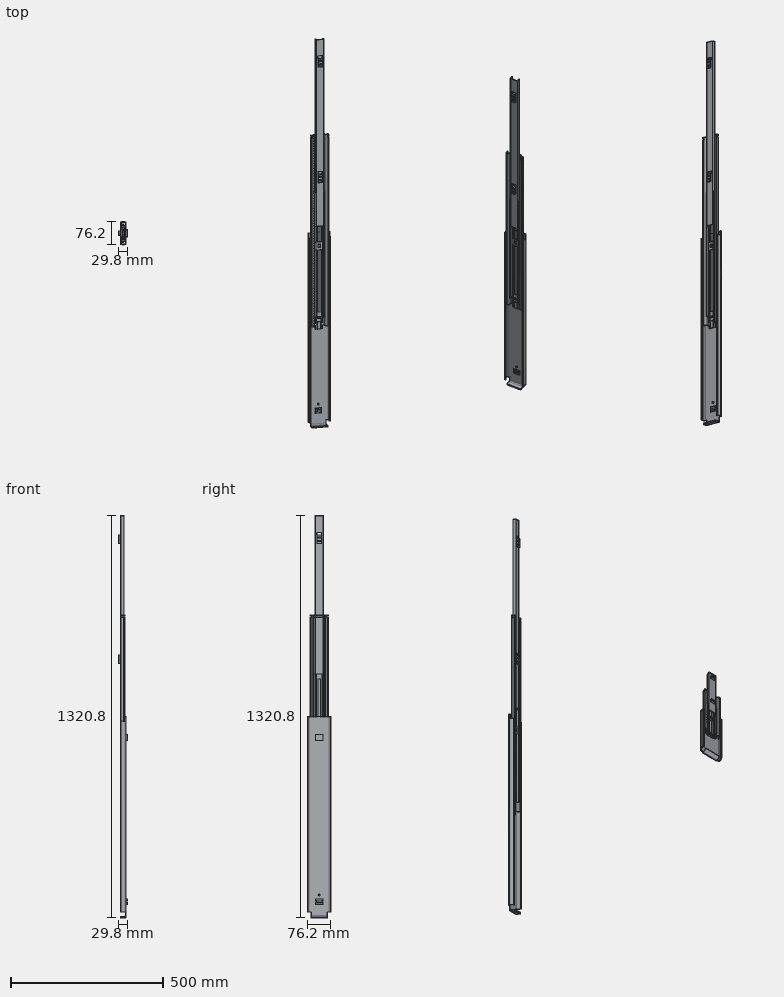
import cadquery as cq


total_depth = 29.79
total_length = 1320.8
slide_depth = 19.05
back = slide_depth / 2
mouth = -slide_depth / 2
tab_height = (total_depth - slide_depth) / 2
wall = 2.5

outer_width = 76.19
outer_length = total_length / 2
outer_corner = 4.0
outer_bulge = 1.8
outer_mouth_width = 62.0
outer_flange_bottom = 19.0
outer_flange_top = 646.0
outer_trim_depth = 3.0
foot_width = 53.0
foot_thickness = 4.5
foot_bend = 4.0
outer_tab_width = 24.0
outer_upper_tab_z = 592.0
outer_upper_tab_length = 20.0
outer_lower_tab_z = 53.0
outer_lower_tab_length = 18.0
outer_tab_gap = 5.0
pocket_length = 16.0
pocket_depth = 1.5
screw_hole_z = 75.0
screw_hole_diameter = 5.0

middle_width = 60.0
middle_bottom = 344.0
middle_top = 995.0
middle_web_back = 6.0
middle_channel_width = 36.0
middle_flange_end = 1.0
middle_corner = 2.0
race_radius = 6.0
stop_thickness = 3.5
stop_gap = 5.0
stop_neck_width = 52.0
tongue_width = 24.0
tongue_length = 12.0
latch_top = 372.0
latch_bottom = 353.0
latch_height = 2.0
latch_pocket_width = 16.0
latch_pocket_length = 11.0
tongue_step_width = 12.0

inner_width = 28.0
inner_bottom = 685.0
inner_flange_end = 2.75
inner_wall = 2.0
inner_corner = 0.8
inner_tab_width = 15.0
inner_tab_length = 28.0
inner_tab_zs = (849.0, 1243.0)
inner_tab_opening = 8.0
inner_tab_slot_width = 8.0
inner_tab_slot_length = 4.0
inner_tab_slot_spacing = 12.0

retainer_bottom = 374.0
retainer_top = 800.0
retainer_bridge = 16.0
retainer_slot_width = 8.0
guide_inner_y = 8.5
guide_outer_y = 10.5
guide_height = 3.0
pad_width = 24.0
pad_bottom = 602.0
pad_top = 630.0
pad_thickness = 1.5
pad_hole_width = 8.0
pad_hole_length = 11.0


def block(x0, x1, y0, y1, z0, z1):
    """Box between two opposite corners."""
    return cq.Workplane("XY").box(x1 - x0, y1 - y0, z1 - z0, centered=False).translate((x0, y0, z0))


def centered_block(x0, x1, width, z0, z1):
    """Box that is symmetric about the XZ plane."""
    return block(x0, x1, -width / 2, width / 2, z0, z1)


def side_blocks(x0, x1, y_near, y_far, z0, z1):
    """Mirrored pair of boxes on the +Y and -Y sides."""
    one_side = block(x0, x1, y_near, y_far, z0, z1)
    return one_side.union(one_side.mirror("XZ"))


def bulged_prism(x0, x1, width):
    """Full-length prism whose two side faces bow outward to the given width."""
    half = width / 2
    edge = half - outer_bulge
    x_middle = (x0 + x1) / 2
    profile = (
        cq.Workplane("XY")
        .moveTo(x0, -edge)
        .lineTo(x0, edge)
        .threePointArc((x_middle, half), (x1, edge))
        .lineTo(x1, -edge)
        .threePointArc((x_middle, -half), (x0, -edge))
        .close()
    )
    return profile.extrude(outer_length)


def make_outer_rail():
    web_front = back - wall
    rail = bulged_prism(mouth, back, outer_width).edges("|Z and >X").fillet(outer_corner)
    race = bulged_prism(mouth + wall, web_front, outer_width - 2 * wall)
    opening = centered_block(mouth, web_front, outer_mouth_width, 0, outer_length)
    rail = rail.cut(race.edges("|Z and >X").fillet(outer_corner - wall)).cut(opening)

    rail = rail.cut(centered_block(mouth, outer_trim_depth, outer_width, outer_flange_top, outer_length))
    rail = rail.cut(side_blocks(mouth, back, foot_width / 2, outer_width / 2, 0, outer_flange_bottom))
    foot_block = centered_block(mouth, back, foot_width, 0, outer_flange_bottom)
    foot_space = centered_block(mouth, web_front, foot_width, foot_thickness, outer_flange_bottom)
    foot_space = foot_space.edges("|Y and >X and <Z").fillet(foot_bend)
    foot = foot_block.edges("|Y and >X and <Z").fillet(foot_bend).cut(foot_space)
    rail = rail.cut(foot_block).union(foot)

    for tab_z, tab_length in (
        (outer_upper_tab_z, outer_upper_tab_length),
        (outer_lower_tab_z, outer_lower_tab_length),
    ):
        tab_start = tab_z - tab_length / 2
        tab_end = tab_z + tab_length / 2
        rail = rail.union(centered_block(back, back + tab_height, outer_tab_width, tab_start, tab_end))
    gap_start = outer_lower_tab_z - outer_tab_gap / 2
    gap_end = outer_lower_tab_z + outer_tab_gap / 2
    rail = rail.cut(centered_block(back, back + tab_height, outer_tab_width, gap_start, gap_end))
    pocket_start = outer_lower_tab_z - pocket_length / 2
    pocket_end = outer_lower_tab_z + pocket_length / 2
    pocket_width = outer_tab_width - 2 * wall
    rail = rail.cut(
        centered_block(web_front, web_front + pocket_depth, pocket_width, pocket_start, pocket_end)
    )
    screw_hole = (
        cq.Workplane("YZ", origin=(web_front, 0, screw_hole_z)).circle(screw_hole_diameter / 2).extrude(wall)
    )
    return rail.cut(screw_hole)


def make_middle_rail():
    web_front = middle_web_back - wall
    half_channel = middle_channel_width / 2
    half_width = middle_width / 2
    length_span = (middle_bottom, middle_top)
    rail = centered_block(web_front, middle_web_back, middle_channel_width + 2 * wall, *length_span)
    rail = rail.edges("|Z and >X").fillet(middle_corner)

    fold = block(mouth, middle_flange_end, half_channel, half_width, *length_span)
    fold = fold.edges("|Z and <X and <Y").fillet(race_radius)
    hollow = block(
        mouth + wall, middle_flange_end, half_channel + wall, half_width - wall, *length_span
    )
    fold = fold.cut(hollow.edges("|Z and <X and <Y").fillet(race_radius - wall))
    fold = fold.union(block(mouth + race_radius, web_front, half_channel, half_channel + wall, *length_span))
    rail = rail.union(fold).union(fold.mirror("XZ"))

    notch_top = middle_top - stop_thickness
    notch_bottom = notch_top - stop_gap
    rail = rail.cut(side_blocks(mouth, back, stop_neck_width / 2, half_width, notch_bottom, notch_top))
    rail = rail.cut(centered_block(inner_flange_end, back, middle_width, notch_bottom, notch_top))

    tongue_end = middle_bottom - tongue_length
    latch_front = web_front - latch_height
    pocket_z = (latch_top + latch_bottom) / 2
    pocket_start = pocket_z - latch_pocket_length / 2
    pocket_end = pocket_z + latch_pocket_length / 2
    latch = centered_block(latch_front, web_front, tongue_width, latch_bottom, latch_top)
    latch = latch.cut(
        centered_block(latch_front, web_front, latch_pocket_width, pocket_start, pocket_end)
    )
    tongue = centered_block(web_front, middle_web_back, tongue_width, tongue_end, middle_bottom)
    step = centered_block(latch_front, web_front, tongue_step_width, tongue_end, latch_bottom)
    return rail.union(latch).union(tongue).union(step)


def make_inner_rail():
    web_back = mouth + inner_wall
    rail = centered_block(mouth, inner_flange_end, inner_width, inner_bottom, total_length)
    rail = rail.edges("|Z and <X").fillet(inner_corner)
    channel_width = inner_width - 2 * inner_wall
    rail = rail.cut(centered_block(web_back, inner_flange_end, channel_width, inner_bottom, total_length))

    for tab_z in inner_tab_zs:
        tab_start = tab_z - inner_tab_length / 2
        tab_end = tab_z + inner_tab_length / 2
        rail = rail.union(centered_block(mouth - tab_height, mouth, inner_tab_width, tab_start, tab_end))
        opening_end = tab_end + inner_tab_opening
        rail = rail.cut(centered_block(mouth, web_back, inner_tab_width, tab_end, opening_end))
        for side in (-1, 1):
            slot_z = tab_z + side * inner_tab_slot_spacing / 2
            slot_start = slot_z - inner_tab_slot_length / 2
            slot_end = slot_z + inner_tab_slot_length / 2
            rail = rail.cut(
                centered_block(mouth - tab_height, mouth, inner_tab_slot_width, slot_start, slot_end)
            )
    return rail


def make_retainer():
    floor_front = inner_flange_end
    floor_back = middle_web_back - wall
    half_channel = middle_channel_width / 2
    span = (retainer_bottom, retainer_top)
    retainer = centered_block(floor_front, floor_back, middle_channel_width, *span)
    slot_span = (retainer_bottom + retainer_bridge, retainer_top - retainer_bridge)
    retainer = retainer.cut(centered_block(floor_front, floor_back, retainer_slot_width, *slot_span))

    retainer = retainer.union(side_blocks(mouth + wall, floor_back, inner_width / 2, half_channel, *span))
    guide_front = floor_front - guide_height
    retainer = retainer.union(side_blocks(guide_front, floor_back, guide_inner_y, guide_outer_y, *span))

    pad_front = guide_front - pad_thickness
    pad = centered_block(pad_front, floor_back, pad_width, pad_bottom, pad_top)
    pad_middle = (pad_bottom + pad_top) / 2
    hole_start = pad_middle - pad_hole_length / 2
    hole_end = pad_middle + pad_hole_length / 2
    pad = pad.cut(centered_block(pad_front, floor_back, pad_hole_width, hole_start, hole_end))
    return retainer.union(pad)


outer_rail = make_outer_rail()
middle_rail = make_middle_rail()
inner_rail = make_inner_rail()
retainer = make_retainer()

result = cq.Compound.makeCompound(
    [outer_rail.val(), middle_rail.val(), inner_rail.val(), retainer.val()]
)